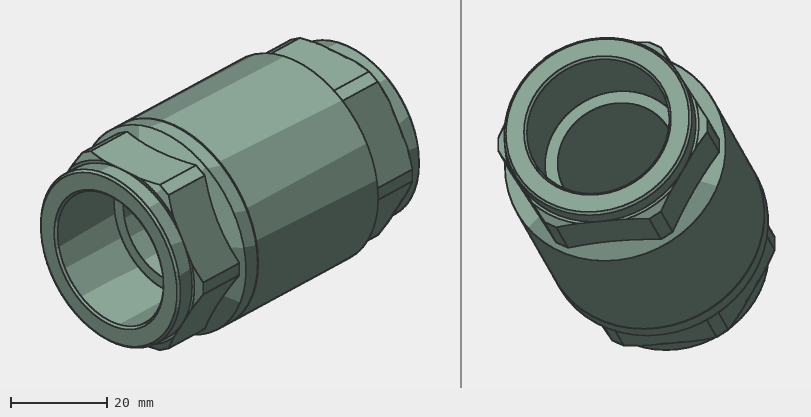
import cadquery as cq
import math

length = 73.0
body_diameter = 47.0
neck_diameter = 40.0
across_flats = neck_diameter
bore_diameter = 25.0
socket_diameter = 30.3

neck_length = 4.0
body_length = 39.85
socket_depth = 17.5
edge_chamfer = 0.5

corner_flat_distance = 44.5
hex_chamfer_diameter = 41.3
cone_slope = math.tan(math.radians(30))

groove_diameter = 45.0
groove_width = 0.2
groove_offset = 3.5

half_length = length / 2
body_radius = body_diameter / 2
neck_radius = neck_diameter / 2
hex_end = half_length - neck_length
across_corners = across_flats / math.cos(math.radians(30))


def revolve_profile(points):
    """Turn an outline of (radius, y) points about the Y axis."""
    outline = cq.Workplane("XY").polyline(points).close()
    return outline.revolve(360, (0, 0, 0), (0, 1, 0))


def cylinder(diameter, start, height):
    """Round bar along +Y from the given start position."""
    plane = cq.Plane(origin=(0, start, 0), xDir=(1, 0, 0), normal=(0, 1, 0))
    return cq.Workplane(plane).circle(diameter / 2).extrude(height)


def make_body():
    """Central barrel with a shallow cone at each end leading to the hexagons."""
    shoulder = body_length / 2
    cone_end = shoulder + (body_radius - neck_radius) * cone_slope
    return revolve_profile([
        (0, -cone_end),
        (neck_radius, -cone_end),
        (body_radius, -shoulder),
        (body_radius, shoulder),
        (neck_radius, cone_end),
        (0, cone_end),
    ])


def make_hexagons():
    """Hexagonal bar with flattened corners and its outer ends cut back by cones."""
    bar = cq.Workplane("XZ").polygon(6, across_corners).extrude(hex_end, both=True)
    corner_trim = (
        cq.Workplane("XZ")
        .transformed(rotate=(0, 0, 30))
        .polygon(6, corner_flat_distance / math.cos(math.radians(30)))
        .extrude(hex_end, both=True)
    )
    bar = bar.intersect(corner_trim)
    cone_start = hex_chamfer_diameter / 2
    envelope_radius = across_corners / 2
    cone_height = (envelope_radius - cone_start) * cone_slope
    envelope = revolve_profile([
        (0, -hex_end),
        (cone_start, -hex_end),
        (envelope_radius, -hex_end + cone_height),
        (envelope_radius, hex_end - cone_height),
        (cone_start, hex_end),
        (0, hex_end),
    ])
    return bar.intersect(envelope)


def make_necks():
    """Round bar whose ends form the two chamfered necks."""
    return cylinder(neck_diameter, -half_length, length).faces("<Y or >Y").chamfer(edge_chamfer)


def make_bore():
    """Through bore with a chamfered socket at each end."""
    bore_radius = bore_diameter / 2
    socket_radius = socket_diameter / 2
    mouth_radius = socket_radius + edge_chamfer
    half_outline = [
        (bore_radius, half_length - socket_depth),
        (socket_radius, half_length - socket_depth),
        (socket_radius, half_length - edge_chamfer),
        (mouth_radius, half_length),
        (0, half_length),
    ]
    mirrored = [(radius, -y) for radius, y in reversed(half_outline)]
    return revolve_profile(half_outline + mirrored)


def make_groove():
    """Thin ring removed at the joint line of the body."""
    start = -body_length / 2 + groove_offset
    ring = cylinder(body_diameter, start, groove_width)
    return ring.cut(cylinder(groove_diameter, start, groove_width))


result = make_body().union(make_hexagons()).union(make_necks())
result = result.cut(make_bore()).cut(make_groove())